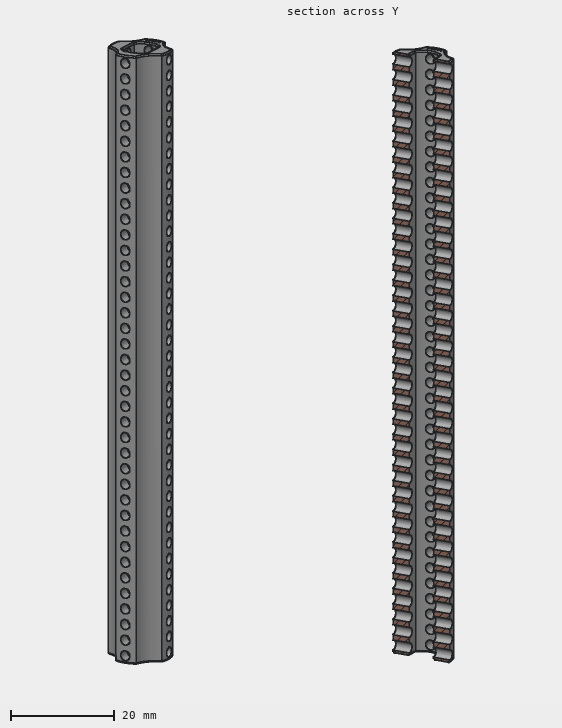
import cadquery as cq
import math

length = 121.9
outer_diameter = 12.5
outer_radius = outer_diameter / 2

lobe_width = 4.5
lobe_half_width = lobe_width / 2
flute_floor_radius = 5.0

bore_diameter = 7.1
bore_radius = bore_diameter / 2
bore_flat_distance = 5.2

end_chamfer = 0.3

hole_diameter = 2.0
hole_count = 39
hole_pitch = length / hole_count

mark_length = 2.9
mark_width = 0.4
mark_depth = 0.4
mark_offset = 5.1


def rotated(point, angle):
    """Turn a point about the tube axis by an angle in degrees."""
    x, y = point
    cosine = math.cos(math.radians(angle))
    sine = math.sin(math.radians(angle))
    return (x * cosine - y * sine, x * sine + y * cosine)


def lobed_body():
    """Extrude the outline: one lobe crown and one flute per quarter turn."""
    lobe_shoulder = math.sqrt(outer_radius**2 - lobe_half_width**2)
    crown_start = (lobe_shoulder, -lobe_half_width)
    crown_middle = (outer_radius, 0)
    crown_end = (lobe_shoulder, lobe_half_width)
    flute_middle = rotated((flute_floor_radius, 0), 45)

    outline = cq.Workplane("XY").moveTo(*crown_start)
    for angle in (0, 90, 180, 270):
        outline = outline.threePointArc(rotated(crown_middle, angle), rotated(crown_end, angle))
        outline = outline.threePointArc(
            rotated(flute_middle, angle),
            rotated(crown_start, angle + 90),
        )
    return outline.close().extrude(length)


def flatted_bore():
    """Round core with its X sides cut to flats."""
    core = cq.Workplane("XY").circle(bore_radius).extrude(length)
    flats = cq.Workplane("XY").rect(bore_flat_distance, 2 * bore_radius).extrude(length)
    return core.intersect(flats)


def hole_row(plane):
    """Through cutters for one row of cross holes, evenly spread over the length."""
    return (
        cq.Workplane(plane)
        .center(0, length / 2)
        .rarray(1.2, hole_pitch, 1, hole_count)
        .circle(hole_diameter / 2)
        .extrude(outer_diameter, both=True)
    )


def mark_groove():
    """Cutter for the marking groove, sunk from the top end."""
    return (
        cq.Workplane("XY", origin=(0, mark_offset, length - mark_depth))
        .rect(mark_length, mark_width)
        .extrude(mark_depth)
    )


result = lobed_body().cut(flatted_bore())
result = result.faces("<Z or >Z").edges().chamfer(end_chamfer)
for hole_plane in ("XZ", "YZ"):
    result = result.cut(hole_row(hole_plane))
result = result.cut(mark_groove())